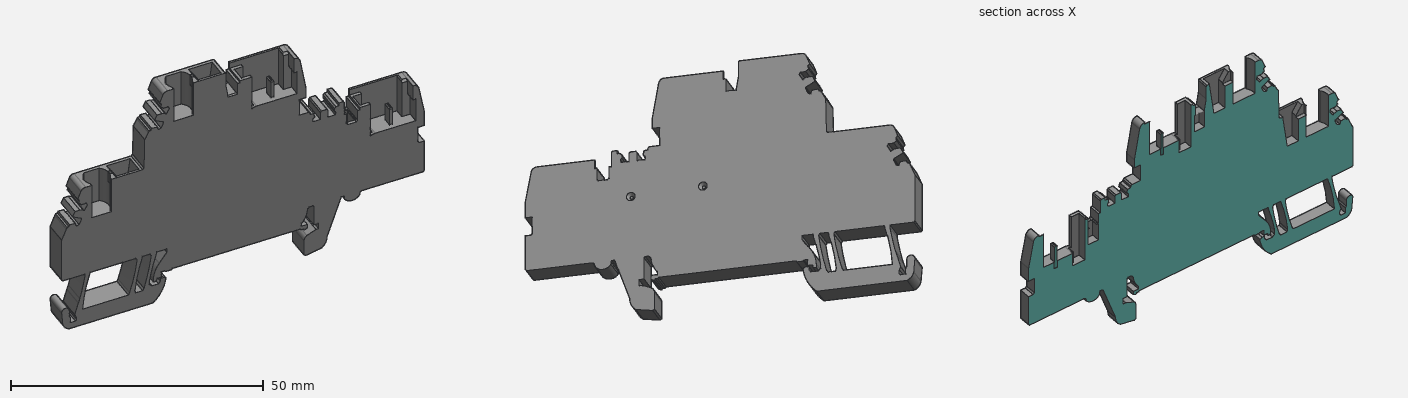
import cadquery as cq
THICKNESS = 5.1
HALF_LENGTH = 40.25
HEIGHT = 51.7
PLATE = 0.5

BAY_TIERS = [(0.0, 0.0), (-26.3, 15.9)]
FUNNEL_TIERS = [(0.0, 0.0), (-18.2, -17.7)]

BAY_TOP = 34.05
BAY_FLOOR = BAY_TOP - 8.85
END_WALL_INNER = 37.7
STEP_WALL = 28.25
STEP_END = 25.9
SLOT_MIDDLE = 24.15
STEP_TOP = BAY_TOP - 1.3
FLOOR_ROUND = 1.05
FLOOR_DROP = 0.3
FLOOR_RADIUS = (FLOOR_ROUND ** 2 + FLOOR_DROP ** 2) / (2 * FLOOR_DROP)
UNDERCUT_TOP = BAY_TOP - 3.5
UNDERCUT_Y = 38.3
RIB_X = 2.65
RIB_Y = END_WALL_INNER - 1.2
RIB_CHAMFER_X = 0.5
RIB_CHAMFER_Y = 0.25

CLAMP_X = (1.2, 4.35)
CLAMP_Y = (26.3, 28.5)
CLAMP_LEDGE_Y = 29.0
CLAMP_LEDGE_TOP = BAY_FLOOR - 0.65
CLAMP_LEDGE_DROP = 0.5
CLAMP_BOTTOM = BAY_FLOOR - 3.2
NOTCH_X = (2.3, 3.2)
NOTCH_Y = 29.2

WELL_X = (0.7, 4.35)
WELL_Y = (22.95, 25.4)
WELL_TOP = 29.5
WELL_DEPTH = 4.0

BLADE_X = (1.9, 3.9)
BLADE_Y = (33.1, 33.8)
BLADE_HEIGHT = 4.0
BLADE_ROOT = 1.6
BLADE_CHAMFER = 0.25

FUNNEL_Y = -13.2
FUNNEL_X = 2.9
FUNNEL_RADIUS = 2.7
FUNNEL_WALL = 0.7
FUNNEL_MOUTH_X = 4.35
FUNNEL_MOUTH_HALF = 2.2
FUNNEL_DEPTH = 8.05
TOOL_X = (0.7, 4.6)
TOOL_Y = (-8.45, -4.7)
TOOL_TAPER = 1.1
TOOL_LEAD = 1.45
TOOL_LEAD_DEPTH = 2.1
TOOL_SLIT_X = (2.4, 3.3)
TOOL_SLIT_Y = (-10.5, -8.45)
TOOL_SLIT_DEPTH = 2.4

TEST_POINTS = [(18.4, 25.2), (3.55, 25.6)]
TEST_MOUTH_RADIUS = 0.9
TEST_TIP_RADIUS = 0.3
TEST_DEPTH = 0.65

GROOVE_CORNER = (-17.2, HEIGHT)
GROOVE_ROUND = [(0.5, 0), (-0.2, -0.2), (-0.6, -0.65)]
GROOVE_STEPS = [
    (-1.3, -2.5), (-0.9, -2.9), (-1.05, -3.55), (-0.5, -4.0), (0.65, -4.0), (0.9, -4.5),
    (0.2, -5.7), (-0.1, -5.5), (-0.8, -5.2), (-1.85, -5.2), (-2.4, -6.4), (-0.5, -7.4),
    (-0.4, -7.65), (-1.0, -8.8), (-1.5, -8.9), (-1.8, -8.2), (-3.05, -8.1), (-3.2, -8.5),
    (-3.6, -8.6), (-3.8, -8.9),
]


def side_sketch(start):
    """Start a sketch on the X = 0 side face."""
    return cq.Workplane("YZ").moveTo(*start)


def lines(sketch, points):
    """Continue a sketch with straight edges through the points."""
    for y, z in points:
        sketch = sketch.lineTo(y, z)
    return sketch


def wire_end(sketch, tier):
    """Continue the profile along the rounded corner and marker grooves of one tier."""
    def place(step):
        return (GROOVE_CORNER[0] + tier[0] + step[0], GROOVE_CORNER[1] + tier[1] + step[1])

    start, middle, end = [place(step) for step in GROOVE_ROUND]
    sketch = sketch.lineTo(*start).threePointArc(middle, end)
    return lines(sketch, [place(step) for step in GROOVE_STEPS])


def box(x_range, y_range, z_range):
    """Box from its limits along each axis."""
    size = [high - low for low, high in (x_range, y_range, z_range)]
    corner = (x_range[0], y_range[0], z_range[0])
    return cq.Workplane("XY").box(*size, centered=False).translate(corner)


def body_blank():
    """Full-thickness profile of the housing with its rail foot and spring foot."""
    sketch = side_sketch((HALF_LENGTH, 12.2))
    sketch = lines(sketch, [(40.25, 19.5), (39.1, 19.5), (38.8, 19.8), (38.8, 23.35), (40.25, 23.35), (40.25, 26.8), (39.05, 33)])
    sketch = sketch.threePointArc((38.65, 33.7), (37.75, BAY_TOP))
    sketch = lines(sketch, [
        (STEP_END, BAY_TOP), (STEP_END, 32.2), (25.45, 32.2), (25.45, 29.8), (25.1, WELL_TOP),
        (23.3, WELL_TOP), (22.95, 29.8), (22.95, 32.2), (22.5, 32.2),
    ])
    sketch = lines(sketch, [
        (22.5, 35.3), (22.2, 35.5), (21.25, 35.5), (21.25, 34.9), (20.6, 34.8), (20.3, 34.45),
        (20.3, 33.7), (20.6, 33.4), (20.45, 32.85), (18.8, 32.85), (18.8, 34.5), (18.6, 34.9),
        (17.4, 34.9), (17.15, 34.5), (17.15, 32.85), (15.5, 32.85), (15.45, 33.5), (15.95, 33.9),
        (15.7, 34.8), (15.0, 34.9), (14.9, 35.3), (14.6, 35.5), (12.5, 35.5),
    ])
    sketch = lines(sketch, [(12.5, 39.4), (14.0, 39.4), (14.0, 41.6), (12.7, 48.9)])
    sketch = sketch.threePointArc((12.3, 49.6), (11.4, 49.9))
    sketch = lines(sketch, [
        (-0.65, 49.9), (-0.65, 48.15), (-1.2, 48.15), (-1.2, 45.5), (-3.3, 45.5), (-3.8, 48.3),
        (-3.8, 51.45), (-4, HEIGHT),
    ])
    sketch = wire_end(sketch, FUNNEL_TIERS[0])
    sketch = lines(sketch, [(-21.8, 41.3), (-22.0, 34.3), (-22.3, 34.0)])
    sketch = wire_end(sketch, FUNNEL_TIERS[1])
    sketch = lines(sketch, [(-40.25, 22.6), (-40.25, 12.6), (-40.0, 12.4), (-35.1, 12.4), (-35.1, 11.8)])
    sketch = sketch.threePointArc((-35.6, 9.3), (-36.2, 6.7))
    sketch = lines(sketch, [
        (-36.55, 5.7), (-37.35, 3.05), (-37, 2.5), (-36.95, 1.8), (-37.2, 1.45), (-38.3, 1.45),
        (-38.3, 2.7), (-38.6, 3.05), (-38.6, 4.5),
    ])
    sketch = sketch.threePointArc((-39.4, 5.4), (-40.25, 4.4)).lineTo(-40.0, 1.7)
    sketch = sketch.threePointArc((-39.5, 0.65), (-38.65, 0)).lineTo(-20.0, 0)
    sketch = sketch.threePointArc((-18.2, 2.0), (-17.15, 4.8))
    sketch = lines(sketch, [
        (-17.15, 5.3), (-17.7, 5.55), (-18.35, 5.55), (-18.35, 4.9), (-18.75, 4.35), (-20.2, 4.35), (-20.8, 4.8), (-20.8, 5.8),
    ])
    sketch = sketch.threePointArc((-20.1, 8.85), (-19.3, 11.7))
    sketch = lines(sketch, [(-19.2, 12.4), (-16.9, 12.4), (-16.9, 11.6), (-18.6, 9.4)])
    sketch = sketch.threePointArc((-19.5, 7.9), (-19.9, 5.9))
    sketch = lines(sketch, [
        (-19.9, 5.15), (-19.25, 5.15), (-19.1, 5.8), (-18.1, 5.8), (-18.1, 7.1), (-17.3, 7.1),
        (-17.2, 6.85), (-15.9, 6.85), (-15.7, 7.1), (12.6, 7.1), (12.9, 6.85), (13.4, 6.85),
        (13.5, 6.6), (13.8, 6.6), (14.25, 6.85), (14.25, 7.7), (13.0, 7.7), (13.0, 8.4), (13.4, 8.8),
    ])
    sketch = sketch.threePointArc((13.9, 9.8), (14.25, 11.0))
    sketch = lines(sketch, [
        (14.3, 11.5), (14.7, 11.9), (15.45, 11.9), (15.7, 11.7), (15.7, 7.1), (16.75, 7.1), (16.75, 5.8), (16.2, 5.8),
        (14.2, 5.0),
    ])
    sketch = sketch.threePointArc((13.7, 4.5), (13.5, 3.9))
    sketch = lines(sketch, [(13.5, 0.3), (13.9, 0.1), (17.4, 0.7)])
    sketch = sketch.threePointArc((18.2, 1.5), (18.7, 3.2))
    sketch = lines(sketch, [(21.65, 11.5), (21.8, 11.9), (22.4, 11.9), (22.55, 11.7), (22.55, 11.1)])
    sketch = sketch.threePointArc((24.2, 10.2), (25.9, 11.1))
    sketch = lines(sketch, [(26.0, 11.7), (26.3, 11.9), (39.9, 11.9)])
    return sketch.close().extrude(THICKNESS)


def narrow_foot_window():
    """Window between the inner pair of spring legs."""
    sketch = side_sketch((-20.4, 11.9)).lineTo(-20.6, 12.4).lineTo(-22.3, 12.4)
    sketch = sketch.threePointArc((-23.3, 8.85), (-24.0, 4.4)).lineTo(-23.8, 3.9).lineTo(-22.3, 3.9)
    sketch = sketch.lineTo(-22.0, 4.35).threePointArc((-21.0, 8.2), (-20.4, 11.9))
    return sketch.close().extrude(THICKNESS)


def wide_foot_window():
    """Window between the middle and outer spring legs."""
    sketch = side_sketch((-23.5, 11.9)).lineTo(-23.75, 12.4).lineTo(-33.9, 12.4)
    sketch = sketch.threePointArc((-35.0, 8.2), (-35.6, 3.9)).lineTo(-25.45, 3.9)
    sketch = sketch.lineTo(-25.2, 4.35).threePointArc((-24.15, 8.2), (-23.5, 11.9))
    return sketch.close().extrude(THICKNESS)


def corner_rib():
    """Rib in the corner of a plug bay, with chamfered top edges."""
    rib = box((PLATE, RIB_X), (RIB_Y, END_WALL_INNER), (BAY_FLOOR, BAY_TOP))
    rib = rib.faces(">Z").edges(">X").chamfer(RIB_CHAMFER_X)
    return rib.faces(">Z").edges("<Y").chamfer(RIB_CHAMFER_Y)


def plug_bay():
    """Material removed for one plug bay, open towards +X, with its clamp opening and well."""
    sketch = side_sketch((END_WALL_INNER, HEIGHT)).lineTo(END_WALL_INNER, BAY_FLOOR)
    sketch = sketch.lineTo(STEP_WALL + FLOOR_ROUND, BAY_FLOOR)
    sketch = sketch.radiusArc((STEP_WALL, BAY_FLOOR - FLOOR_DROP), -FLOOR_RADIUS)
    sketch = lines(sketch, [(STEP_WALL, STEP_TOP), (SLOT_MIDDLE, STEP_TOP), (SLOT_MIDDLE, HEIGHT)])
    bay = sketch.close().extrude(THICKNESS - PLATE).translate((PLATE, 0, 0)).cut(corner_rib())

    undercut = box((RIB_X, THICKNESS), (END_WALL_INNER, UNDERCUT_Y), (BAY_FLOOR, UNDERCUT_TOP))

    clamp = lines(side_sketch((CLAMP_Y[0], CLAMP_BOTTOM)), [
        (CLAMP_Y[1], CLAMP_BOTTOM), (CLAMP_Y[1], CLAMP_LEDGE_TOP),
        (CLAMP_LEDGE_Y, CLAMP_LEDGE_TOP - CLAMP_LEDGE_DROP), (CLAMP_LEDGE_Y, STEP_TOP), (CLAMP_Y[0], STEP_TOP),
    ]).close().extrude(CLAMP_X[1] - CLAMP_X[0]).translate((CLAMP_X[0], 0, 0))
    notch = box(NOTCH_X, (CLAMP_Y[0], NOTCH_Y), (CLAMP_BOTTOM, STEP_TOP))
    well = box(WELL_X, WELL_Y, (WELL_TOP - WELL_DEPTH, WELL_TOP))
    return [bay, undercut, clamp, notch, well]


def funnel_openings():
    """Material removed for one round wire funnel and the tool opening beside it."""
    bottom = HEIGHT - FUNNEL_DEPTH
    funnel = cq.Workplane("XY", origin=(FUNNEL_X, FUNNEL_Y, bottom)).circle(FUNNEL_RADIUS).extrude(FUNNEL_DEPTH)
    y_limits = (FUNNEL_Y - FUNNEL_RADIUS, FUNNEL_Y + FUNNEL_RADIUS)
    funnel = funnel.intersect(box((FUNNEL_WALL, THICKNESS), y_limits, (bottom, HEIGHT)))

    mouth_limits = (FUNNEL_Y - FUNNEL_MOUTH_HALF, FUNNEL_Y + FUNNEL_MOUTH_HALF)
    mouth = box((FUNNEL_MOUTH_X, THICKNESS), mouth_limits, (bottom, HEIGHT))

    near, far = TOOL_Y
    tool = lines(side_sketch((far, HEIGHT)), [
        (far - TOOL_TAPER, bottom), (near, bottom), (near, HEIGHT - TOOL_LEAD_DEPTH), (near - TOOL_LEAD, HEIGHT),
    ]).close().extrude(TOOL_X[1] - TOOL_X[0]).translate((TOOL_X[0], 0, 0))
    slit = box(TOOL_SLIT_X, TOOL_SLIT_Y, (HEIGHT - TOOL_SLIT_DEPTH, HEIGHT))
    return [funnel, mouth, tool, slit]


def test_point(y, z):
    """Tapered blind recess in the side face."""
    mouth = cq.Workplane("YZ", origin=(0, y, z)).circle(TEST_MOUTH_RADIUS)
    return mouth.workplane(offset=TEST_DEPTH).circle(TEST_TIP_RADIUS).loft()


def contact_blade(tier):
    """Contact blade with a chamfered tip, rooted in the bay floor."""
    blade = box(BLADE_X, BLADE_Y, (BAY_FLOOR - BLADE_ROOT, BAY_FLOOR + BLADE_HEIGHT))
    return blade.faces(">Z").edges().chamfer(BLADE_CHAMFER).translate((0, *tier))


def make_housing(blades):
    """Housing with all its openings and a matching recess for each blade."""
    housing = body_blank().cut(narrow_foot_window()).cut(wide_foot_window())
    for tier in BAY_TIERS:
        for opening in plug_bay():
            housing = housing.cut(opening.translate((0, *tier)))
    for tier in FUNNEL_TIERS:
        for opening in funnel_openings():
            housing = housing.cut(opening.translate((0, *tier)))
    for y, z in TEST_POINTS:
        housing = housing.cut(test_point(y, z))
    for blade in blades:
        housing = housing.cut(blade)
    return housing


contact_blades = [contact_blade(tier) for tier in BAY_TIERS]
housing = make_housing(contact_blades)

result = cq.Compound.makeCompound([housing.val(), *[blade.val() for blade in contact_blades]])